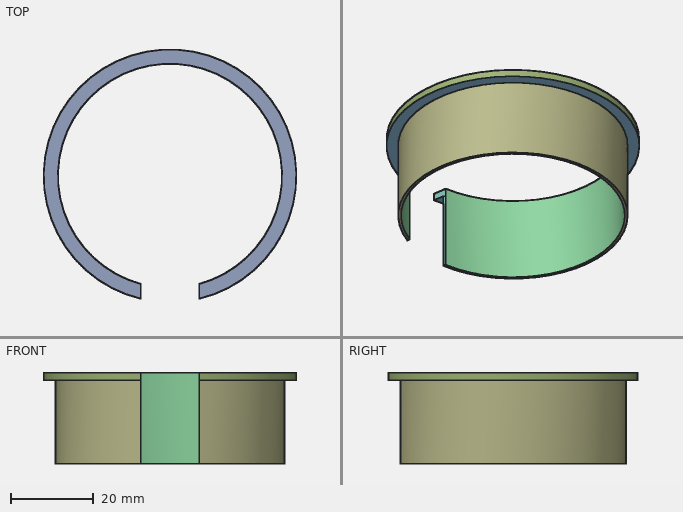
import cadquery as cq

flange_diameter = 61.0
sleeve_diameter = 55.35
bore_diameter = 53.95
total_height = 22.0
flange_thickness = 1.9
gap_width = 14.1

sleeve_height = total_height - flange_thickness


def ring(outer_diameter, height):
    """Plain ring around the bore, standing on Z = 0."""
    return (
        cq.Workplane("XY")
        .circle(outer_diameter / 2)
        .circle(bore_diameter / 2)
        .extrude(height)
    )


sleeve = ring(sleeve_diameter, total_height)
flange = ring(flange_diameter, flange_thickness).translate((0, 0, sleeve_height))

gap = (
    cq.Workplane("XY")
    .box(gap_width, flange_diameter, total_height, centered=(True, True, False))
    .translate((0, -flange_diameter / 2, 0))
)

result = sleeve.union(flange).cut(gap)